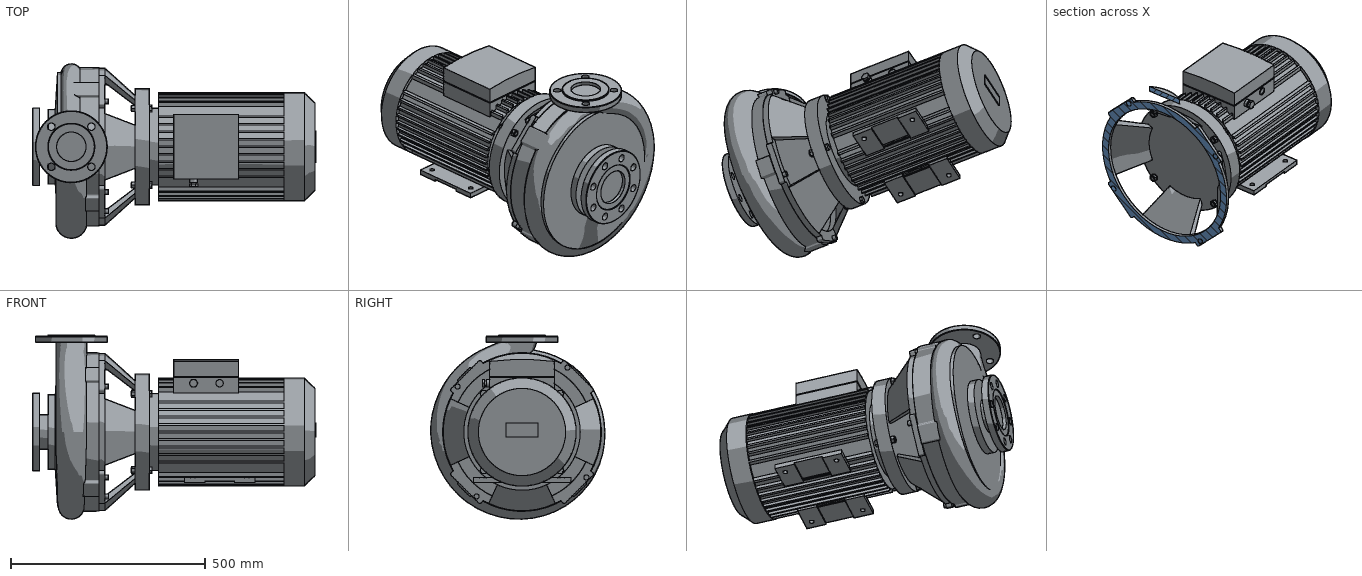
import cadquery as cq
import math


INLET_FLANGE_RADIUS = 100.0
INLET_FLANGE_BACK = 18.0
FLANGE_CHAMFER = 1.5
INLET_RECESS_RADIUS = 62.0
INLET_RECESS_DEPTH = 1.5
INLET_BORE_RADIUS = 44.5
INLET_BORE_DEPTH = 11.0
INLET_HOLE_COUNT = 8
INLET_HOLE_CIRCLE = 79.5
FLANGE_HOLE_DIAMETER = 19.0
HUB_FRONT = 40.0
HUB_BACK = 58.5
HUB_RADIUS = 96.5
FRONT_WALL_X = 64.0
FRONT_WALL_RADIUS = 191.5
VOLUTE_X = 100.0
CASING_RING_FRONT = 122.0
CASING_RING_RADIUS = 204.5
CASING_BACK = 171.0
CASING_LUG_REACH = 212.5
CASING_LUG_WIDTH = 50.0
CASING_LUG_ROUND = 4.5

VOLUTE_START_CENTER = 187.0
VOLUTE_END_CENTER = 196.0
VOLUTE_START_TUBE = 27.0
VOLUTE_END_TUBE = 40.0
VOLUTE_GROWTH_START = 90
VOLUTE_SWEEP = 270
VOLUTE_STEP = 30
OUTLET_TURN = 67
OUTLET_LEAN = 10

OUTLET_TOP = 250.5
OUTLET_FACE_RADIUS = 60.5
OUTLET_FACE_HEIGHT = 4.0
OUTLET_FLANGE_RADIUS = 93.0
OUTLET_FLANGE_THICKNESS = 16.0
OUTLET_BORE_RADIUS = 38.0
OUTLET_BORE_DEPTH = 9.0
OUTLET_HOLE_CIRCLE = 73.0
OUTLET_HOLE_COUNT = 4

RING_BACK = 186.0
RING_RADIUS = 203.0
RING_BORE_RADIUS = 182.0
RING_PAD_REACH = 208.0
RING_PAD_WIDTH = 109.5
RING_PAD_ROUND = 5.0
SCREW_CIRCLE = 203.0
SCREW_OFFSET_ANGLE = 9.8
SCREW_DIAMETER = 13.0
SCREW_HEIGHT = 9.5
LANTERN_FLANGE_FRONT = 264.5
LANTERN_FLANGE_BACK = 301.0
LANTERN_FLANGE_RADIUS = 300.0 / 2
LEG_END_RADIUS = 132.0
LEG_END_INNER_RADIUS = 117.0
LEG_ANGLE = 50

BOLT_CIRCLE = 139.5
BOLT_DIAMETER = 12.0
BOLT_HEX_DIAMETER = 19.0
BOLT_HEAD_HEIGHT = 6.5
BOLT_NUT_HEIGHT = 9.0
BOLT_STUD_END = 2.0
HEAD_TURN = 30

NECK_RADIUS = 99.0
MOTOR_FRONT = 324.0
CORE_RADIUS = 131.0
FIN_TIP_RADIUS = 139.5
FIN_THICKNESS = 4.5
FIN_COUNT = 9
FIN_SPAN = 155.0
COVER_FRONT = 648.0
COVER_BEVEL_X = 700.5
COVER_BACK = 728.0
COVER_BACK_RADIUS = 112.5
MOTOR_BACK = 730.5
PLATE_WIDTH = 82.0
PLATE_TOP = 23.0
PLATE_BOTTOM = -13.0

FOOT_FRONT = 392.0
FOOT_LENGTH = 181.0
FOOT_OUTER_Y = 126.0
FOOT_INNER_Y = 51.0
FOOT_TOP = -117.5
FOOT_THICKNESS = 13.0
FOOT_RELIEF_LENGTH = 76.0
FOOT_RELIEF_HEIGHT = 5.0
FOOT_HOLE_DIAMETER = 12.0
FOOT_HOLE_Y = 104.0
FOOT_HOLE_SPACING = 139.5

BOX_FRONT = 364.0
BOX_SIZE = 167.0
BOX_BOTTOM = 99.0
BOX_SPLIT = 143.0
LID_EDGE = 182.0
LID_CROWN = 5.0
SEAM_HEIGHT = 2.0
SEAM_DEPTH = 1.0
ENTRY_X = 415.0
ENTRY_SPACING = 67.0
ENTRY_Z = 126.0
ENTRY_DIAMETER = 19.0
ENTRY_DEPTH = 2.0
GLAND_COLLAR_DIAMETER = 20.0
GLAND_COLLAR_HEIGHT = 8.0
GLAND_NECK_DIAMETER = 12.0
GLAND_NECK_HEIGHT = 4.5
GLAND_HEX_DIAMETER = 22.0
GLAND_HEX_HEIGHT = 6.0

TOLERANCE = 0.1
QUARTERS = (0, 90, 180, 270)
DIAGONALS = (45, 135, 225, 315)


def across(x):
    """Workplane at X = x, facing +X, with local axes along Y and Z."""
    return cq.Workplane("YZ", origin=(x, 0, 0))


def disc(x_start, x_end, radius):
    return across(x_start).circle(radius).extrude(x_end - x_start)


def about_axis(shape, angle):
    return shape.rotate((0, 0, 0), (1, 0, 0), angle)


def on_circle(shape, radius, angle):
    """Move a shape from the axis to `angle` degrees from +Y towards +Z, keeping its own orientation."""
    turn = math.radians(angle)
    return shape.translate((0, radius * math.cos(turn), radius * math.sin(turn)))


def diagonal_pads(x_start, x_end, reach, width, rounding):
    """Four flat-topped pads at 45 degrees, with rounded outer corners."""
    pad = across(x_start).rect(reach, width).extrude(x_end - x_start)
    pad = pad.translate((0, reach / 2, 0)).edges("|X and >Y").fillet(rounding)
    pads = about_axis(pad, DIAGONALS[0])
    for angle in DIAGONALS[1:]:
        pads = pads.union(about_axis(pad, angle))
    return pads


def casing_body():
    """Turned part of the casing: hub, conical front wall and back ring, with its four lugs."""
    profile = [
        (HUB_FRONT, 0), (HUB_FRONT, HUB_RADIUS), (HUB_BACK, HUB_RADIUS),
        (FRONT_WALL_X, FRONT_WALL_RADIUS), (CASING_RING_FRONT, FRONT_WALL_RADIUS),
        (CASING_RING_FRONT, CASING_RING_RADIUS), (CASING_BACK, CASING_RING_RADIUS), (CASING_BACK, 0),
    ]
    body = cq.Workplane("XY").polyline(profile).close().revolve(360, (0, 0, 0), (1, 0, 0))
    body = body.union(
        diagonal_pads(VOLUTE_X, CASING_BACK, CASING_LUG_REACH, CASING_LUG_WIDTH, CASING_LUG_ROUND)
    )
    lug_roots = body.edges("|X").filter(is_lug_root)
    return lug_roots.fillet(CASING_LUG_ROUND)


def is_lug_root(edge):
    """True for the straight edges where the sides of the lugs run into the back ring."""
    middle = edge.positionAt(0.5)
    on_ring = abs(math.hypot(middle.y, middle.z) - CASING_RING_RADIUS) < TOLERANCE
    beside_lug = abs(abs(abs(middle.y) - abs(middle.z)) - CASING_LUG_WIDTH / math.sqrt(2)) < TOLERANCE
    return on_ring and beside_lug


def volute_section(turn):
    """Circular tube section after `turn` degrees from the top, travelling through +Y, -Z and -Y."""
    growth = (turn - VOLUTE_GROWTH_START) / (VOLUTE_SWEEP - VOLUTE_GROWTH_START)
    growth = max(0, min(growth, 1))
    center = VOLUTE_START_CENTER + growth * (VOLUTE_END_CENTER - VOLUTE_START_CENTER)
    tube = VOLUTE_START_TUBE + growth * (VOLUTE_END_TUBE - VOLUTE_START_TUBE)
    angle = math.radians(turn)
    outward = cq.Vector(0, math.sin(angle), math.cos(angle))
    travel = cq.Vector(0, math.cos(angle), -math.sin(angle))
    plane = cq.Plane(cq.Vector(VOLUTE_X, 0, 0) + outward * center, outward * -1, travel)
    return cq.Workplane(plane).circle(tube)


def volute():
    """Spiral tube, then the full-size tube that bends from the spiral up to the outlet."""
    turns = range(0, VOLUTE_SWEEP + 1, VOLUTE_STEP)
    rings = [volute_section(turn).val() for turn in turns]
    spiral = cq.Workplane(cq.Solid.makeLoft(rings))

    mouth = volute_section(VOLUTE_SWEEP)
    middle = volute_section(VOLUTE_SWEEP + OUTLET_TURN / 2)
    bend = volute_section(VOLUTE_SWEEP + OUTLET_TURN)
    flange_top = OUTLET_TOP - OUTLET_FACE_HEIGHT
    outlet = cq.Vector(VOLUTE_X, 0, flange_top)
    lean = math.radians(OUTLET_LEAN)
    arc = cq.Edge.makeThreePointArc(mouth.plane.origin, middle.plane.origin, bend.plane.origin)
    rise = cq.Edge.makeSpline(
        [bend.plane.origin, outlet],
        tangents=[bend.plane.zDir, cq.Vector(0, math.sin(lean), math.cos(lean))],
    )
    tail = mouth.sweep(cq.Workplane(cq.Wire.assembleEdges([arc, rise])))
    above_flange = (
        cq.Workplane("XY", origin=(VOLUTE_X, 0, flange_top))
        .circle(OUTLET_FLANGE_RADIUS)
        .extrude(OUTLET_FLANGE_RADIUS)
    )
    return spiral.union(tail.cut(above_flange))


def inlet():
    """Inlet neck and drilled flange, with a shallow recess and a blind bore."""
    flange = disc(0, INLET_FLANGE_BACK, INLET_FLANGE_RADIUS).faces("<X").chamfer(FLANGE_CHAMFER)
    holes = (
        across(0)
        .polarArray(INLET_HOLE_CIRCLE, 180 / INLET_HOLE_COUNT, 360, INLET_HOLE_COUNT)
        .circle(FLANGE_HOLE_DIAMETER / 2)
        .extrude(INLET_FLANGE_BACK)
    )
    neck = disc(0, HUB_FRONT, INLET_BORE_RADIUS)
    floor_radius = INLET_RECESS_RADIUS - INLET_RECESS_DEPTH
    recess = across(0).circle(INLET_RECESS_RADIUS).workplane(offset=INLET_RECESS_DEPTH)
    recess = recess.circle(floor_radius).loft()
    bore = disc(0, INLET_BORE_DEPTH, INLET_BORE_RADIUS)
    return flange.cut(holes).union(neck).cut(recess).cut(bore)


def outlet_flange():
    """Round flange on top of the outlet, with a raised face and four bolt holes."""
    top = OUTLET_TOP - OUTLET_FACE_HEIGHT
    plane = cq.Workplane("XY", origin=(VOLUTE_X, 0, top))
    flange = plane.circle(OUTLET_FLANGE_RADIUS).extrude(-OUTLET_FLANGE_THICKNESS)
    flange = flange.edges().chamfer(FLANGE_CHAMFER)
    holes = (
        plane.polarArray(OUTLET_HOLE_CIRCLE, DIAGONALS[0], 360, OUTLET_HOLE_COUNT)
        .circle(FLANGE_HOLE_DIAMETER / 2)
        .extrude(-OUTLET_FLANGE_THICKNESS)
    )
    face = plane.circle(OUTLET_FACE_RADIUS).extrude(OUTLET_FACE_HEIGHT)
    face = face.faces(">Z").chamfer(FLANGE_CHAMFER)
    return flange.cut(holes).union(face)


def make_casing():
    outlet_bore = (
        cq.Workplane("XY", origin=(VOLUTE_X, 0, OUTLET_TOP))
        .circle(OUTLET_BORE_RADIUS)
        .extrude(-OUTLET_BORE_DEPTH)
    )
    return casing_body().union(volute()).union(inlet()).union(outlet_flange()).cut(outlet_bore)


def lantern_ring():
    """Front ring with four pads, each bored through for a jack screw."""
    ring = disc(CASING_BACK, RING_BACK, RING_RADIUS)
    ring = ring.union(
        diagonal_pads(CASING_BACK, RING_BACK, RING_PAD_REACH, RING_PAD_WIDTH, RING_PAD_ROUND)
    )
    ring = ring.cut(disc(CASING_BACK, RING_BACK, RING_BORE_RADIUS))
    hole = disc(CASING_BACK, RING_BACK, SCREW_DIAMETER / 2)
    for diagonal in DIAGONALS:
        ring = ring.cut(on_circle(hole, SCREW_CIRCLE, diagonal + SCREW_OFFSET_ANGLE))
    return ring


def lantern_leg(angle):
    """Tapering leg cut from a conical shell between two radial planes."""
    profile = [
        (RING_BACK, RING_BORE_RADIUS), (RING_BACK, RING_RADIUS),
        (LANTERN_FLANGE_FRONT, LEG_END_RADIUS), (LANTERN_FLANGE_FRONT, LEG_END_INNER_RADIUS),
    ]
    leg = cq.Workplane("XY").polyline(profile).close().revolve(LEG_ANGLE, (0, 0, 0), (1, 0, 0))
    return about_axis(leg, angle - LEG_ANGLE / 2)


def lantern():
    flange = disc(LANTERN_FLANGE_FRONT, LANTERN_FLANGE_BACK, LANTERN_FLANGE_RADIUS)
    hole = disc(LANTERN_FLANGE_FRONT, LANTERN_FLANGE_BACK, BOLT_DIAMETER / 2)
    for angle in DIAGONALS:
        flange = flange.cut(on_circle(hole, BOLT_CIRCLE, angle))
    frame = lantern_ring().union(flange)
    for angle in QUARTERS:
        frame = frame.union(lantern_leg(angle))
    return frame


def make_screw(angle):
    """Plain screw through a ring pad, bearing on the back of the casing."""
    screw = disc(CASING_BACK, RING_BACK + SCREW_HEIGHT, SCREW_DIAMETER / 2)
    return on_circle(screw, SCREW_CIRCLE, angle)


def make_bolt(angle):
    """Bolt through the lantern flange: head on the motor side, nut and thread end on the pump side."""
    nut_front = LANTERN_FLANGE_FRONT - BOLT_NUT_HEIGHT
    shank = disc(nut_front - BOLT_STUD_END, LANTERN_FLANGE_BACK, BOLT_DIAMETER / 2)
    nut = across(nut_front).polygon(6, BOLT_HEX_DIAMETER).extrude(BOLT_NUT_HEIGHT)
    head = across(LANTERN_FLANGE_BACK).polygon(6, BOLT_HEX_DIAMETER).extrude(BOLT_HEAD_HEIGHT)
    bolt = shank.union(about_axis(nut, HEAD_TURN)).union(head)
    return on_circle(bolt, BOLT_CIRCLE, angle)


def cooling_fins():
    """Parallel fins on four sides, trimmed to a common tip radius."""
    length = COVER_FRONT - MOTOR_FRONT
    upright = (
        across(MOTOR_FRONT)
        .rarray(FIN_SPAN / (FIN_COUNT - 1), 7, FIN_COUNT, 1)
        .rect(FIN_THICKNESS, 2 * FIN_TIP_RADIUS)
        .extrude(length)
    )
    fins = upright.union(about_axis(upright, 90))
    return fins.intersect(disc(MOTOR_FRONT, COVER_FRONT, FIN_TIP_RADIUS))


def fan_cover():
    profile = [
        (COVER_FRONT, 0), (COVER_FRONT, FIN_TIP_RADIUS), (COVER_BEVEL_X, FIN_TIP_RADIUS),
        (COVER_BACK, COVER_BACK_RADIUS), (COVER_BACK, 0),
    ]
    cover = cq.Workplane("XY").polyline(profile).close().revolve(360, (0, 0, 0), (1, 0, 0))
    plate = (
        across(COVER_BACK)
        .center(0, (PLATE_TOP + PLATE_BOTTOM) / 2)
        .rect(PLATE_WIDTH, PLATE_TOP - PLATE_BOTTOM)
        .extrude(MOTOR_BACK - COVER_BACK)
    )
    return cover.union(plate)


def foot(side):
    """Flat foot plate with two bolt holes and a relief under its middle; side is -1 or 1 along Y."""
    center_x = FOOT_FRONT + FOOT_LENGTH / 2
    width = FOOT_OUTER_Y - FOOT_INNER_Y
    center_y = side * (FOOT_OUTER_Y + FOOT_INNER_Y) / 2
    bottom = cq.Workplane("XY", origin=(center_x, center_y, FOOT_TOP - FOOT_THICKNESS))
    plate = bottom.rect(FOOT_LENGTH, width).extrude(FOOT_THICKNESS)
    relief = bottom.rect(FOOT_RELIEF_LENGTH, width).extrude(FOOT_RELIEF_HEIGHT)
    hole_y = side * FOOT_HOLE_Y - center_y
    holes = (
        bottom.pushPoints([(-FOOT_HOLE_SPACING / 2, hole_y), (FOOT_HOLE_SPACING / 2, hole_y)])
        .circle(FOOT_HOLE_DIAMETER / 2)
        .extrude(FOOT_THICKNESS)
    )
    return plate.cut(relief).cut(holes)


def motor():
    core = disc(MOTOR_FRONT, COVER_FRONT, CORE_RADIUS)
    neck = disc(LANTERN_FLANGE_BACK, MOTOR_FRONT, NECK_RADIUS)
    return core.union(neck).union(cooling_fins()).union(fan_cover()).union(foot(-1)).union(foot(1))


def terminal_box():
    """Box with a shallow crown, a seam groove below its lid and a blank cable entry on the -Y side."""
    half = BOX_SIZE / 2
    box = (
        across(BOX_FRONT)
        .moveTo(-half, BOX_BOTTOM)
        .lineTo(half, BOX_BOTTOM)
        .lineTo(half, LID_EDGE)
        .threePointArc((0, LID_EDGE + LID_CROWN), (-half, LID_EDGE))
        .close()
        .extrude(BOX_SIZE)
    )
    seam = (
        cq.Workplane("XY", origin=(BOX_FRONT + half, 0, BOX_SPLIT - SEAM_HEIGHT))
        .rect(BOX_SIZE, BOX_SIZE)
        .rect(BOX_SIZE - 2 * SEAM_DEPTH, BOX_SIZE - 2 * SEAM_DEPTH)
        .extrude(SEAM_HEIGHT)
    )
    blank_entry = (
        cq.Workplane("XZ", origin=(ENTRY_X + ENTRY_SPACING, -half, ENTRY_Z))
        .circle(ENTRY_DIAMETER / 2)
        .extrude(-ENTRY_DEPTH)
    )
    return box.cut(seam).cut(blank_entry)


def cable_gland():
    """Cable gland on the -Y side of the box: round collar, neck and hexagonal cap."""
    def outward(distance):
        return cq.Workplane("XZ", origin=(ENTRY_X, -BOX_SIZE / 2 - distance, ENTRY_Z))

    collar = outward(0).circle(GLAND_COLLAR_DIAMETER / 2).extrude(GLAND_COLLAR_HEIGHT)
    neck = outward(GLAND_COLLAR_HEIGHT).circle(GLAND_NECK_DIAMETER / 2).extrude(GLAND_NECK_HEIGHT)
    cap = outward(GLAND_COLLAR_HEIGHT + GLAND_NECK_HEIGHT).polygon(6, GLAND_HEX_DIAMETER)
    return collar.union(neck).union(cap.extrude(GLAND_HEX_HEIGHT))


casing = make_casing()
motor_unit = lantern().union(motor()).union(terminal_box()).union(cable_gland())
bolts = [make_bolt(angle) for angle in DIAGONALS]
screws = [make_screw(angle + SCREW_OFFSET_ANGLE) for angle in DIAGONALS]

result = cq.Compound.makeCompound([
    casing.solids().val(),
    motor_unit.solids().val(),
    *[bolt.solids().val() for bolt in bolts],
    *[screw.solids().val() for screw in screws],
])